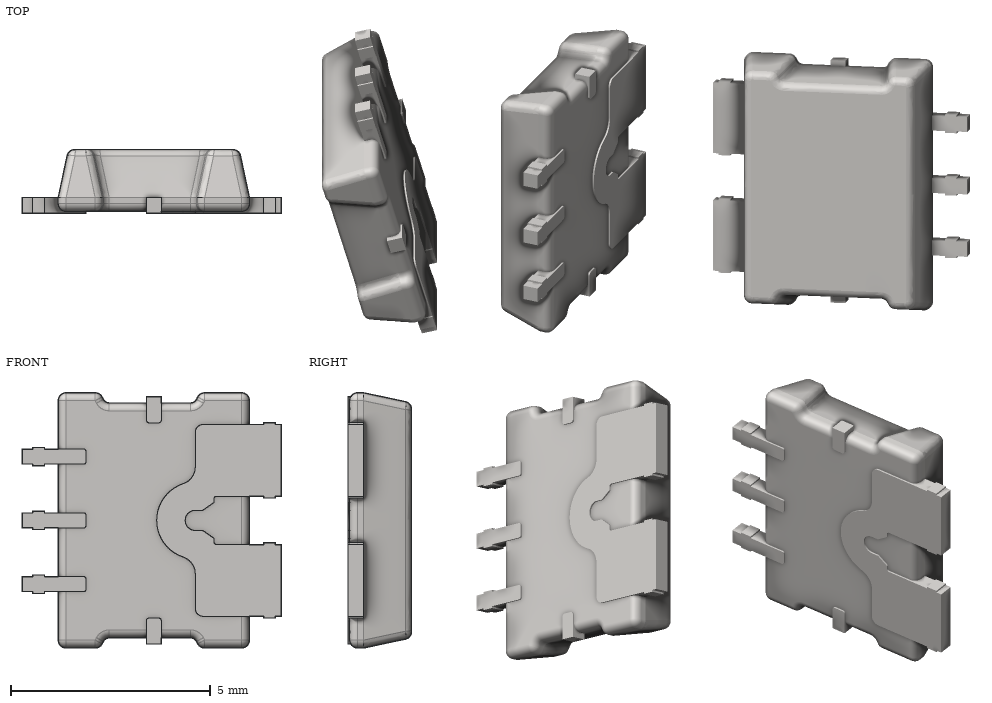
import cadquery as cq
import math


housing_width = 4.8
housing_height = 6.4
housing_front = 0.045
housing_back = 1.6
draft_angle = 12
edge_radius = 0.2

notch_depth = 0.255
notch_floor_width = 2.235
notch_center = -0.1
notch_wall_angle = 62
notch_root_radius = 0.16

lead_thickness = 0.395
lead_width = 0.38
dam_bar_width = 0.3
dam_bar_projection = 0.045

side_lead_count = 3
side_lead_pitch = 1.6
side_lead_overhang = 0.905
side_lead_length = 1.6
side_lead_dam_offset = 0.265
side_lead_corner_radius = 0.05

tab_length = 0.655
tab_end = 3.1
tab_corner_radius = 0.08

plate_overhang = 0.8
pad_left = 1.04
pad_inner = 0.605
pad_height = 1.8
pad_corner_radius = 0.2
pad_dam_offset = 0.15
bridge_radius = 0.97
bridge_blend_radius = 0.45
slot_radius = 0.255
slot_straight_end = 1.23
slot_mouth_start = 1.51
slot_mouth_half_height = 0.45
slot_corner_radius = 0.065

side_lead_left = -housing_width / 2 - side_lead_overhang
plate_right = housing_width / 2 + plate_overhang


def block(x_min, x_max, z_min, z_max):
    """Rectangular piece of lead frame between the given X and Z limits."""
    size = (x_max - x_min, lead_thickness, z_max - z_min)
    return cq.Workplane("XY").box(*size, centered=False).translate((x_min, 0, z_min))


def dam_bar(x_min, z_min, z_max):
    """Rest of a dam bar: a strip that stands out on both Z sides of a lead."""
    x_max = x_min + dam_bar_width
    return block(x_min, x_max, z_min - dam_bar_projection, z_max + dam_bar_projection)


def housing_outline(y, inset):
    """Rounded housing outline at depth y, with its sides and notches moved inwards by inset."""
    half_width = housing_width / 2 - inset
    half_height = housing_height / 2 - inset
    floor_z = half_height - notch_depth
    floor_reach = notch_floor_width / 2 + inset
    rim_reach = floor_reach + notch_depth / math.tan(math.radians(notch_wall_angle))
    top = [
        (-half_width, half_height),
        (notch_center - rim_reach, half_height),
        (notch_center - floor_reach, floor_z),
        (notch_center + floor_reach, floor_z),
        (notch_center + rim_reach, half_height),
        (half_width, half_height),
    ]
    bottom = [(x, -z) for x, z in reversed(top)]
    sharp = cq.Wire.makePolygon([cq.Vector(x, y, z) for x, z in top + bottom], close=True)
    mid_notch_z = half_height - notch_depth / 2
    roots = [corner for corner in sharp.Vertices() if abs(corner.Z) < mid_notch_z]
    outer_corners = [corner for corner in sharp.Vertices() if abs(corner.Z) > mid_notch_z]
    return sharp.fillet2D(edge_radius, outer_corners).fillet2D(notch_root_radius, roots)


def make_housing():
    """Housing with upright sides up to the parting line and drafted sides behind it."""
    draft_depth = housing_back - lead_thickness
    back_inset = draft_depth * math.tan(math.radians(draft_angle))
    parting_outline = housing_outline(lead_thickness, 0)
    back_outline = housing_outline(housing_back, back_inset)
    upright_depth = lead_thickness - housing_front
    upright = cq.Solid.extrudeLinear(parting_outline, [], cq.Vector(0, -upright_depth, 0))
    drafted = cq.Solid.makeLoft([parting_outline, back_outline], True)
    body = cq.Workplane(upright).union(cq.Workplane(drafted))
    return body.faces("<Y or >Y").edges().fillet(edge_radius)


def make_side_lead(center_z):
    """Straight lead with rounded corners at its inner end and a dam bar near its outer end."""
    z_min = center_z - lead_width / 2
    z_max = center_z + lead_width / 2
    bar = block(side_lead_left, side_lead_left + side_lead_length, z_min, z_max)
    bar = bar.edges("|Y and >X").fillet(side_lead_corner_radius)
    return bar.union(dam_bar(side_lead_left + side_lead_dam_offset, z_min, z_max))


def make_tab(side):
    """Support tab in the top (side = 1) or bottom (side = -1) notch."""
    tab = block(-lead_width / 2, lead_width / 2, tab_end - tab_length, tab_end)
    tab = tab.edges("|Y and <Z").fillet(tab_corner_radius)
    return tab if side > 0 else tab.mirror("XY")


def make_upper_plate_half():
    """Half of the drain plate above Z = 0: a pad, half of the bridge and a dam bar."""
    pad_outer = pad_inner + pad_height
    blend_center_x = pad_left - bridge_blend_radius
    blend_center_z = math.sqrt((bridge_radius + bridge_blend_radius) ** 2 - bridge_blend_radius ** 2)
    bridge_end = math.atan2(blend_center_z, -bridge_blend_radius)
    bridge_middle = (math.pi + bridge_end) / 2
    blend_start = bridge_end - math.pi
    blend_middle = blend_start / 2

    def around_bridge(radius, angle):
        return (pad_left + radius * math.cos(angle), radius * math.sin(angle))

    def around_blend(angle):
        return (
            blend_center_x + bridge_blend_radius * math.cos(angle),
            blend_center_z + bridge_blend_radius * math.sin(angle),
        )

    half = (
        cq.Workplane("XZ")
        .moveTo(*around_bridge(bridge_radius, math.pi))
        .threePointArc(around_bridge(bridge_radius, bridge_middle), around_bridge(bridge_radius, bridge_end))
        .threePointArc(around_blend(blend_middle), around_blend(0))
        .lineTo(pad_left, pad_outer - pad_corner_radius)
        .radiusArc((pad_left + pad_corner_radius, pad_outer), pad_corner_radius)
        .lineTo(plate_right, pad_outer)
        .lineTo(plate_right, pad_inner)
        .lineTo(slot_mouth_start + slot_corner_radius, pad_inner)
        .radiusArc((slot_mouth_start, pad_inner - slot_corner_radius), -slot_corner_radius)
        .lineTo(slot_mouth_start, slot_mouth_half_height)
        .lineTo(slot_straight_end, slot_radius)
        .lineTo(pad_left, slot_radius)
        .threePointArc(around_bridge(slot_radius, 3 * math.pi / 4), around_bridge(slot_radius, math.pi))
        .close()
        .extrude(-lead_thickness)
    )
    return half.union(dam_bar(plate_right - pad_dam_offset - dam_bar_width, pad_inner, pad_outer))


def make_drain_plate():
    """Drain plate, symmetrical about Z = 0."""
    upper_half = make_upper_plate_half()
    return upper_half.union(upper_half.mirror("XY"))


middle_lead = (side_lead_count - 1) / 2
side_leads = [make_side_lead((i - middle_lead) * side_lead_pitch) for i in range(side_lead_count)]
tabs = [make_tab(side) for side in (1, -1)]
drain_plate = make_drain_plate()
lead_frame = [*side_leads, *tabs, drain_plate]

housing = make_housing()
for lead in lead_frame:
    housing = housing.cut(lead)

result = cq.Compound.makeCompound([housing.val(), *[lead.val() for lead in lead_frame]])